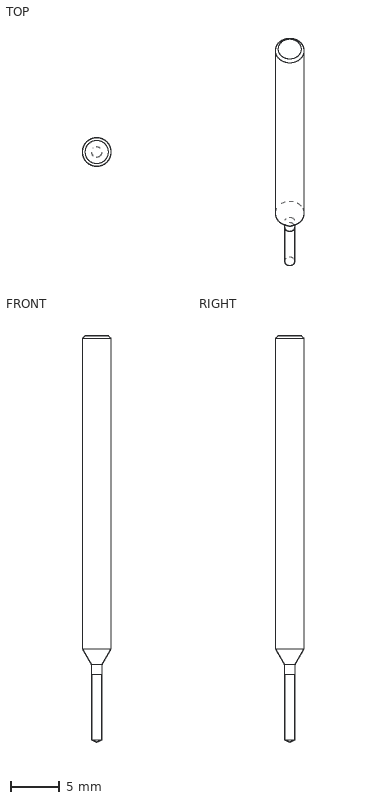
import cadquery as cq

total_length = 42.0
shank_diameter = 3.0
shank_radius = shank_diameter / 2

rear_chamfer = 0.3
shoulder_top_z = 9.65
shoulder_bottom_z = 8.02
neck_diameter = 1.1
neck_radius = neck_diameter / 2

head_top_z = 7.0
head_diameter = 1.05
head_radius = head_diameter / 2
point_height = 0.25


def revolve_about_z(profile):
    """Turn a closed (radius, z) outline into a solid around the Z axis."""
    return cq.Workplane("XZ").polyline(profile).close().revolve(360, (0, 0), (0, 1))


def make_shank():
    """Long round shank that narrows to the neck carrying the cutting head."""
    return revolve_about_z([
        (0, head_top_z),
        (neck_radius, head_top_z),
        (neck_radius, shoulder_bottom_z),
        (shank_radius, shoulder_top_z),
        (shank_radius, total_length - rear_chamfer),
        (shank_radius - rear_chamfer, total_length),
        (0, total_length),
    ])


def make_cutting_head():
    """Slim cutting head that butts against the neck and ends in a point."""
    return revolve_about_z([
        (0, 0),
        (head_radius, point_height),
        (head_radius, head_top_z),
        (0, head_top_z),
    ])


shank = make_shank()
cutting_head = make_cutting_head()

result = cq.Compound.makeCompound([shank.val(), cutting_head.val()])